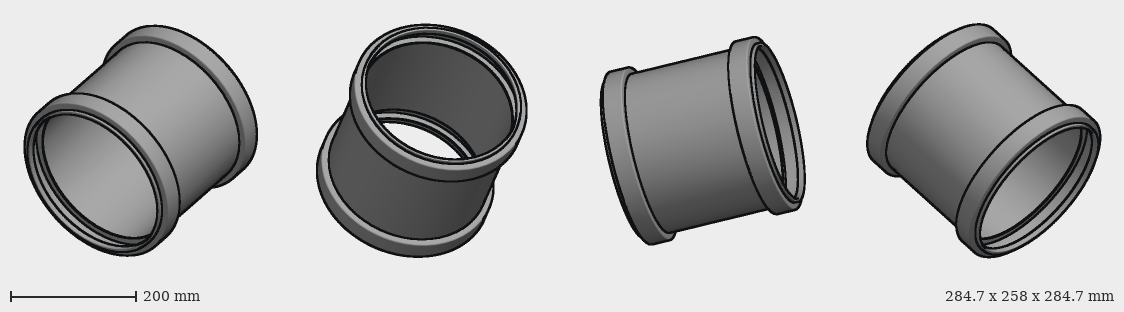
import cadquery as cq

length = 258.0
tube_diameter = 262.0
bore_diameter = 250.8
collar_diameter = 284.7
groove_diameter = 273.5
collar_offset = 6.0
collar_width = 35.0
collar_round = 2.5
lip_length = 10.5
groove_width = 24.5
flank_taper = 1.0
edge_round = 0.9

collar_centre = length / 2 - collar_offset - collar_width / 2
groove_centre = length / 2 - lip_length - groove_width / 2


def tapered_ring(foot_diameter, crown_diameter, foot_width, centre):
    """Solid of revolution about Y whose flanks lean inward from foot to crown."""
    foot_radius = foot_diameter / 2
    crown_radius = crown_diameter / 2
    half_foot = foot_width / 2
    half_crown = half_foot - flank_taper
    profile = (
        cq.Workplane("XY")
        .moveTo(0, centre - half_foot)
        .lineTo(foot_radius, centre - half_foot)
        .lineTo(crown_radius, centre - half_crown)
        .lineTo(crown_radius, centre + half_crown)
        .lineTo(foot_radius, centre + half_foot)
        .lineTo(0, centre + half_foot)
        .close()
    )
    return profile.revolve(360, (0, 0, 0), (0, 1, 0))


def round_edges_of_diameter(solid, diameter, radius):
    """Round every circular edge of the given diameter."""
    tolerance = 0.03
    half = diameter / 2 + tolerance
    inner_half = diameter / 2 - tolerance
    edges = [
        edge for edge in solid.edges("%CIRCLE").vals()
        if inner_half < edge.radius() < half
    ]
    return solid.newObject(edges).fillet(radius)


def collar(centre):
    """Raised ring with rounded crown edges, still without its bore."""
    ring = tapered_ring(tube_diameter, collar_diameter, collar_width, centre)
    return round_edges_of_diameter(ring, collar_diameter, collar_round)


tube = cq.Workplane("XZ").circle(tube_diameter / 2).extrude(length / 2, both=True)
body = tube.edges().fillet(edge_round)

for side in (-1, 1):
    body = body.union(collar(side * collar_centre))

bore = cq.Workplane("XZ").circle(bore_diameter / 2).extrude(length / 2, both=True)
body = body.cut(bore)
for side in (-1, 1):
    body = body.cut(tapered_ring(bore_diameter, groove_diameter, groove_width, side * groove_centre))

result = round_edges_of_diameter(body, bore_diameter, edge_round)